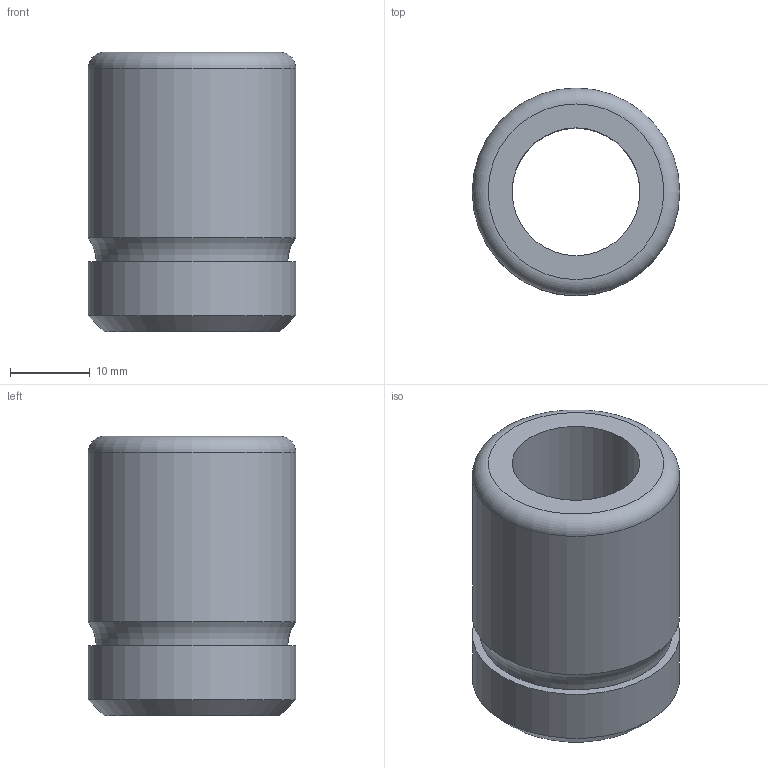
import cadquery as cq
import math

height = 35.0
outer_radius = 26.0 / 2
bore_radius = 16.0 / 2

top_round_radius = 2.0
bottom_chamfer = 2.0

groove_bottom = 8.75
groove_height = 3.0
groove_depth = 1.0
groove_top = groove_bottom + groove_height
groove_floor_radius = outer_radius - groove_depth

flank_radius = (groove_height**2 + groove_depth**2) / (2 * groove_depth)
flank_center_r = groove_floor_radius + flank_radius


def make_body():
    """Solid cylinder with a rounded top edge and a chamfered bottom edge."""
    body = cq.Workplane("XY").circle(outer_radius).extrude(height)
    body = body.faces(">Z").edges().fillet(top_round_radius)
    return body.faces("<Z").edges().chamfer(bottom_chamfer)


def make_groove():
    """Ring swept by the groove section, to be cut from the outer surface."""
    half_angle = math.asin(groove_height / flank_radius) / 2
    flank_middle = (
        flank_center_r - flank_radius * math.cos(half_angle),
        groove_bottom + flank_radius * math.sin(half_angle),
    )
    return (
        cq.Workplane("XZ")
        .moveTo(outer_radius, groove_bottom)
        .lineTo(groove_floor_radius, groove_bottom)
        .threePointArc(flank_middle, (outer_radius, groove_top))
        .close()
        .revolve(360, (0, 0, 0), (0, 1, 0))
    )


def make_bore():
    """Cylinder that passes through the full height."""
    return cq.Workplane("XY").circle(bore_radius).extrude(height)


result = make_body().cut(make_groove()).cut(make_bore())